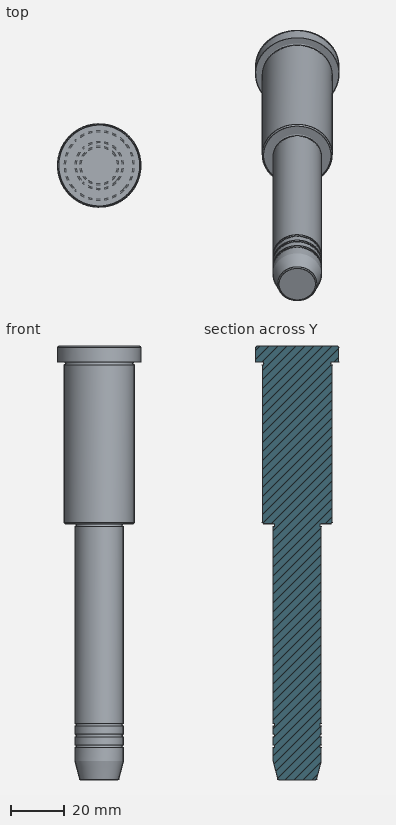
import cadquery as cq

total_length = 161.0
head_height = 6.0
collar_length = 60.0
nose_length = 7.0

head_diameter = 31.0
collar_diameter = 26.0
pin_diameter = 18.0
nose_tip_diameter = 14.5

edge_chamfer = 0.5
nose_chamfer_width = 0.5
nose_chamfer_height = 0.3

groove_radius = 0.5
groove_count = 3
groove_pitch = 4.0
first_groove_height = 12.5

head_radius = head_diameter / 2
collar_radius = collar_diameter / 2
pin_radius = pin_diameter / 2
nose_tip_radius = nose_tip_diameter / 2
collar_top = total_length - head_height
collar_bottom = collar_top - collar_length


def revolve_profile(points):
    """Turn a closed outline of (radius, height) points around the Z axis."""
    return cq.Workplane("XZ").polyline(points).close().revolve(360, (0, 0, 0), (0, 1, 0))


def make_head():
    """Flat head with a broken top edge."""
    return revolve_profile([
        (0, collar_top),
        (head_radius, collar_top),
        (head_radius, total_length - edge_chamfer),
        (head_radius - edge_chamfer, total_length),
        (0, total_length),
    ])


def make_collar():
    """Thick upper shaft, chamfered at its lower end."""
    return revolve_profile([
        (0, collar_bottom),
        (collar_radius - edge_chamfer, collar_bottom),
        (collar_radius, collar_bottom + edge_chamfer),
        (collar_radius, collar_top),
        (0, collar_top),
    ])


def make_pin():
    """Slim lower shaft with a tapered nose."""
    return revolve_profile([
        (0, 0),
        (nose_tip_radius - nose_chamfer_width, 0),
        (nose_tip_radius, nose_chamfer_height),
        (pin_radius, nose_length),
        (pin_radius, collar_bottom),
        (0, collar_bottom),
    ])


def make_groove(shaft_radius, height):
    """Round-bottomed ring that cuts one groove into a shaft, centred on the given height."""
    section = cq.Workplane("XZ").center(shaft_radius, height).circle(groove_radius)
    return section.revolve(360, (-shaft_radius, 0, 0), (-shaft_radius, 1, 0))


result = make_head().union(make_collar()).union(make_pin())
result = result.cut(make_groove(collar_radius, collar_top - groove_radius))
result = result.cut(make_groove(pin_radius, collar_bottom - groove_radius))
for index in range(groove_count):
    result = result.cut(make_groove(pin_radius, first_groove_height + index * groove_pitch))